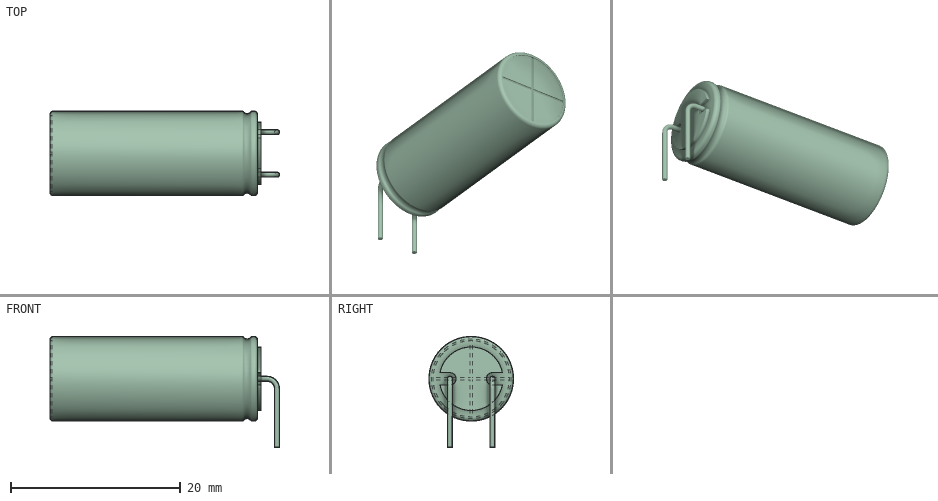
import cadquery as cq
import math


total_length = 27.1
can_diameter = 10.0
total_height = 13.1
can_radius = can_diameter / 2
lead_bottom_z = can_radius - total_height

can_length = 24.5
edge_radius = 0.4
crimp_depth = 0.3
crimp_root_radius = 0.55
crimp_shoulder_radius = 0.33
bead_flat_width = 0.15

vent_diameter = 9.0
vent_recess_depth = 0.08
vent_groove_width = 0.3
vent_groove_depth = 0.14

bung_diameter = 7.5
bung_height = 0.43
bung_notch_width = 1.45

lead_diameter = 0.6
lead_pitch = 5.02
lead_bend_radius = 1.2
lead_drop_x = total_length - lead_diameter / 2
lead_bend_start_x = lead_drop_x - lead_bend_radius


def make_can():
    """Revolve the can with its rounded ends and the rolled crimp groove near the open end."""
    bend_sum = crimp_root_radius + crimp_shoulder_radius
    sweep = math.acos(1 - crimp_depth / bend_sum)
    half_width = bend_sum * math.sin(sweep)
    bead_start_x = can_length - edge_radius - bead_flat_width
    crimp_x = bead_start_x - half_width

    root_offset = crimp_root_radius * math.sin(sweep)
    tangent_r = can_radius - crimp_shoulder_radius * (1 - math.cos(sweep))
    shoulder_mid_offset = half_width - crimp_shoulder_radius * math.sin(sweep / 2)
    shoulder_mid_r = can_radius - crimp_shoulder_radius * (1 - math.cos(sweep / 2))

    profile = (
        cq.Workplane("XY")
        .lineTo(0, can_radius - edge_radius)
        .radiusArc((edge_radius, can_radius), edge_radius)
        .lineTo(crimp_x - half_width, can_radius)
        .threePointArc(
            (crimp_x - shoulder_mid_offset, shoulder_mid_r),
            (crimp_x - root_offset, tangent_r),
        )
        .threePointArc(
            (crimp_x, can_radius - crimp_depth),
            (crimp_x + root_offset, tangent_r),
        )
        .threePointArc(
            (crimp_x + shoulder_mid_offset, shoulder_mid_r),
            (bead_start_x, can_radius),
        )
        .lineTo(can_length - edge_radius, can_radius)
        .radiusArc((can_length, can_radius - edge_radius), edge_radius)
        .lineTo(can_length, 0)
        .close()
    )
    return profile.revolve(360, (0, 0, 0), (1, 0, 0))


def make_vent_recess():
    """Shallow disc at the closed end plus the deeper cross groove that ends at its rim."""
    groove_bottom = vent_recess_depth + vent_groove_depth
    recess = cq.Workplane("YZ").circle(vent_diameter / 2).extrude(vent_recess_depth)
    groove_limit = cq.Workplane("YZ").circle(vent_diameter / 2).extrude(groove_bottom)
    cross = (
        cq.Workplane("YZ")
        .rect(vent_diameter, vent_groove_width)
        .extrude(groove_bottom)
        .union(cq.Workplane("YZ").rect(vent_groove_width, vent_diameter).extrude(groove_bottom))
    )
    return recess.union(groove_limit.intersect(cross))


def make_bung():
    """Low disc with a round-ended notch running from each lead out to the rim."""
    bung_face = cq.Workplane("YZ", origin=(can_length, 0, 0))
    bung = bung_face.circle(bung_diameter / 2).extrude(bung_height)
    for side in (-1, 1):
        lead_y = side * lead_pitch / 2
        notch_end = bung_face.center(lead_y, 0).circle(bung_notch_width / 2).extrude(bung_height)
        notch_run = (
            cq.Workplane("YZ", origin=(can_length, lead_y + side * bung_diameter / 4, 0))
            .rect(bung_diameter / 2, bung_notch_width)
            .extrude(bung_height)
        )
        bung = bung.cut(notch_end).cut(notch_run)
    return bung


def make_lead(lead_y):
    """Round wire leaving the can along X and bending down to -Z."""
    path = (
        cq.Workplane("XZ", origin=(0, lead_y, 0))
        .moveTo(can_length, 0)
        .lineTo(lead_bend_start_x, 0)
        .radiusArc((lead_drop_x, -lead_bend_radius), lead_bend_radius)
        .lineTo(lead_drop_x, lead_bottom_z)
    )
    section = cq.Workplane("YZ", origin=(can_length, lead_y, 0)).circle(lead_diameter / 2)
    return section.sweep(path)


result = make_can().cut(make_vent_recess()).union(make_bung())
for lead_side in (-1, 1):
    result = result.union(make_lead(lead_side * lead_pitch / 2))